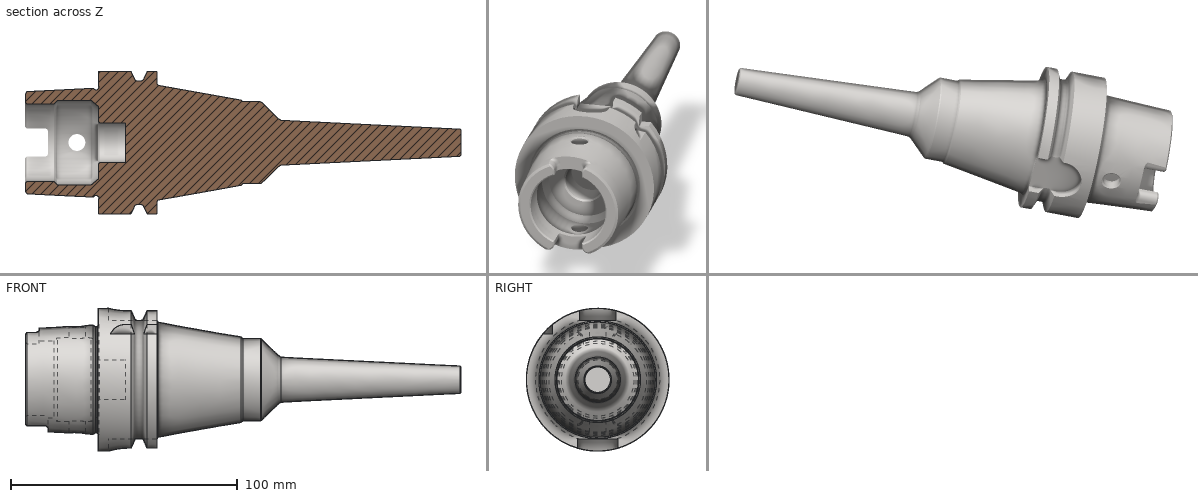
import cadquery as cq
import math


shank_length = 32.0
taper_slope = 0.05
taper_end_x = -2.2
taper_end_radius = 24.1
front_chamfer_length = 0.6
front_chamfer_height = 1.1
relief_radius = 23.4
relief_front_x = -1.2
relief_rear_x = -0.5
relief_depth_in_flange = 0.4
relief_inner_radius = 24.1
relief_step_radius = 24.6
relief_outer_radius = 25.3

flange_radius = 31.5
flange_length = 26.0
groove_center_x = 18.1
groove_mouth_width = 7.0
groove_floor_width = 3.2
groove_floor_radius = 27.4
groove_fillet = 1.0

cone_root_radius = 26.0
cone_start_x = 26.5
cone_start_radius = 25.4
cone_end_x = 63.0
cone_end_radius = 18.9
collar_start_x = 63.8
collar_end_x = 72.0
collar_radius = 18.2
collar_edge_length = 0.5
collar_edge_height = 0.2
neck_start_x = 79.5
neck_start_radius = 10.7
neck_end_x = 80.6
neck_end_radius = 10.0
tip_x = 160.0
tip_radius = 6.1
tip_chamfer = 0.5

bore_radius = 17.0
bore_chamfer = 0.6
clamp_shoulder_x = -19.4
clamp_radius = 18.5
clamp_angle = 45.0
clamp_end_x = -3.0
bore_floor_radius = 16.0
bore_floor_x = 0.0
coolant_radius = 8.7
coolant_chamfer = 0.7
coolant_depth = 12.0

radial_hole_radius = 3.7
radial_hole_mouth_radius = 4.4
radial_hole_chamfer_depth = 0.7
radial_hole_x = -9.2

keyway_half_width = 6.27
keyway_corner_radius = 3.0
keyway_end_fillet = 1.5
keyway_mouth_chamfer = 0.6
top_keyway_depth = 6.0
top_keyway_shelf = 20.9
bottom_keyway_depth = 10.0
bottom_keyway_shelf = 20.3

slot_end_x = 4.6
slot_floor_height = 26.1
top_slot_width = 16.0
bottom_slot_width = 18.0
notch_radius = 8.0
notch_wall_y = -19.9
notch_floor_z = 20.2

clearance = 5.0


def revolve_about_x(points):
    return cq.Workplane("XY").polyline(points).close().revolve(360, (0, 0, 0), (1, 0, 0))


def make_body():
    front_x = -shank_length
    chamfer_x = front_x + front_chamfer_length
    shank_radius = taper_end_radius - taper_slope * (taper_end_x - chamfer_x)
    mouth = groove_mouth_width / 2
    floor = groove_floor_width / 2
    body = revolve_about_x([
        (front_x, 0),
        (front_x, shank_radius - front_chamfer_height),
        (chamfer_x, shank_radius),
        (taper_end_x, taper_end_radius),
        (relief_front_x, relief_radius),
        (relief_rear_x, relief_radius),
        (relief_depth_in_flange, relief_inner_radius),
        (relief_depth_in_flange, relief_step_radius),
        (0, relief_outer_radius),
        (0, flange_radius),
        (groove_center_x - mouth, flange_radius),
        (groove_center_x - floor, groove_floor_radius),
        (groove_center_x + floor, groove_floor_radius),
        (groove_center_x + mouth, flange_radius),
        (flange_length, flange_radius),
        (flange_length, cone_root_radius),
        (cone_start_x, cone_start_radius),
        (cone_end_x, cone_end_radius),
        (collar_start_x, collar_radius),
        (collar_end_x - collar_edge_length, collar_radius),
        (collar_end_x, collar_radius - collar_edge_height),
        (neck_start_x, neck_start_radius),
        (neck_end_x, neck_end_radius),
        (tip_x - tip_chamfer, tip_radius),
        (tip_x, tip_radius - tip_chamfer),
        (tip_x, 0),
    ])
    groove_corners = body.edges(cq.selectors.BoxSelector(
        (groove_center_x - floor - groove_fillet, -flange_radius, -flange_radius),
        (groove_center_x + floor + groove_fillet, flange_radius, flange_radius),
    )).edges("%CIRCLE")
    return groove_corners.fillet(groove_fillet)


def make_bore():
    front_x = -shank_length
    shoulder_length = (clamp_radius - bore_radius) / math.tan(math.radians(clamp_angle))
    return revolve_about_x([
        (front_x, 0),
        (front_x, bore_radius + bore_chamfer),
        (front_x + bore_chamfer, bore_radius),
        (clamp_shoulder_x, bore_radius),
        (clamp_shoulder_x + shoulder_length, clamp_radius),
        (clamp_end_x, clamp_radius),
        (bore_floor_x, bore_floor_radius),
        (bore_floor_x, coolant_radius + coolant_chamfer),
        (bore_floor_x + coolant_chamfer, coolant_radius),
        (bore_floor_x + coolant_depth, coolant_radius),
        (bore_floor_x + coolant_depth, 0),
    ])


def make_radial_hole():
    """Hole through both walls, widened by a cone where it meets the shank surface."""
    surface = taper_end_radius - taper_slope * (taper_end_x - radial_hole_x)
    inner = surface - radial_hole_chamfer_depth
    profile = [
        (0, -flange_radius),
        (radial_hole_mouth_radius, -flange_radius),
        (radial_hole_mouth_radius, -surface),
        (radial_hole_radius, -inner),
        (radial_hole_radius, inner),
        (radial_hole_mouth_radius, surface),
        (radial_hole_mouth_radius, flange_radius),
        (0, flange_radius),
    ]
    hole = cq.Workplane("XZ").polyline(profile).close().revolve(360, (0, 0, 0), (0, 1, 0))
    return hole.translate((radial_hole_x, 0, 0))


def draw_keyway(plane, shelf, growth):
    """Keyway section, enlarged by growth; the tooth corners beside it are rounded up to a flat shelf."""
    half_width = keyway_half_width + growth
    radius = keyway_corner_radius - growth
    arc_y = keyway_half_width + keyway_corner_radius
    arc_z = shelf - keyway_corner_radius
    arc_offset = radius * math.sqrt(0.5)
    shelf_z = arc_z + radius
    outer = flange_radius
    return (
        plane
        .moveTo(-half_width, 0)
        .lineTo(half_width, 0)
        .lineTo(half_width, arc_z)
        .threePointArc((arc_y - arc_offset, arc_z + arc_offset), (arc_y, shelf_z))
        .lineTo(outer, shelf_z)
        .lineTo(outer, outer)
        .lineTo(-outer, outer)
        .lineTo(-outer, shelf_z)
        .lineTo(-arc_y, shelf_z)
        .threePointArc((-arc_y + arc_offset, arc_z + arc_offset), (-half_width, arc_z))
        .close()
    )


def cut_keyway(body, depth, shelf, side):
    """Cut a keyway open at the shank end, with a filleted bottom and a chamfered mouth."""
    front = cq.Workplane("YZ", origin=(-shank_length, 0, 0))
    slot = draw_keyway(front, shelf, 0).extrude(depth).faces(">X").edges().fillet(keyway_end_fillet)
    mouth = draw_keyway(front, shelf, keyway_mouth_chamfer)
    mouth = draw_keyway(mouth.workplane(offset=keyway_mouth_chamfer), shelf, 0).loft(ruled=True)
    turn = 0 if side > 0 else 180
    for cutter in (slot, mouth):
        body = body.cut(cutter.rotate((0, 0, 0), (1, 0, 0), turn))
    return body


def make_gripper_slot(width, side):
    radius = width / 2
    center_x = slot_end_x + radius
    slot = (
        cq.Workplane("XY", origin=(0, 0, slot_floor_height))
        .moveTo(flange_length + clearance, -radius)
        .lineTo(center_x, -radius)
        .threePointArc((slot_end_x, 0), (center_x, radius))
        .lineTo(flange_length + clearance, radius)
        .close()
        .extrude(flange_radius)
    )
    return slot if side > 0 else slot.rotate((0, 0, 0), (1, 0, 0), 180)


def make_orientation_notch():
    """Corner notch with an upright wall and a level floor, ending in a round cutter path."""
    center_x = slot_end_x + notch_radius
    center_y = notch_wall_y - notch_radius
    return (
        cq.Workplane("XY", origin=(0, 0, notch_floor_z))
        .moveTo(flange_length + clearance, notch_wall_y)
        .lineTo(center_x, notch_wall_y)
        .threePointArc((slot_end_x, center_y), (center_x, center_y - notch_radius))
        .lineTo(flange_length + clearance, center_y - notch_radius)
        .close()
        .extrude(flange_radius)
    )


shank = make_body().cut(make_bore()).cut(make_radial_hole())
shank = cut_keyway(shank, top_keyway_depth, top_keyway_shelf, 1)
shank = cut_keyway(shank, bottom_keyway_depth, bottom_keyway_shelf, -1)

result = (
    shank
    .cut(make_gripper_slot(top_slot_width, 1))
    .cut(make_gripper_slot(bottom_slot_width, -1))
    .cut(make_orientation_notch())
)